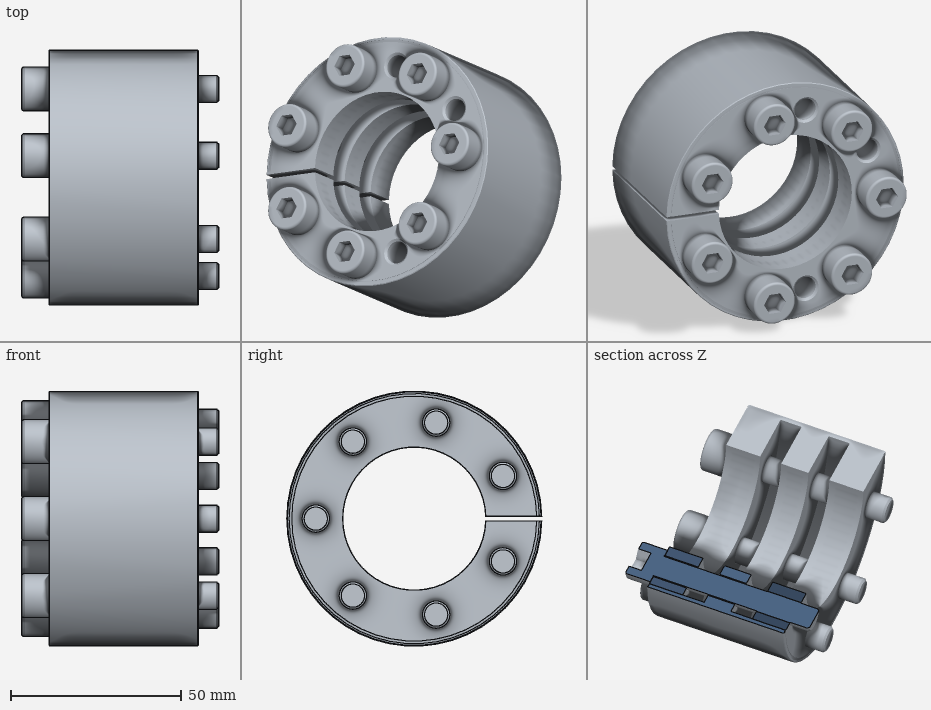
import cadquery as cq
import math


outer_diameter = 75.0
bore_diameter = 42.0
sleeve_length = 43.95
edge_chamfer = 0.2
ring_diameter = 72.0
ring_length = 10.9
web_start = 17.6
web_length = sleeve_length - 2 * web_start
rim_recess_diameter = 73.6
rim_recess_depth = 0.15
slit_width = 1.3

screw_count = 7
bolt_circle_radius = 28.95
shank_diameter = 8.0
shank_overhang = 6.0
shank_chamfer = 0.6
clearance_diameter = 8.4
head_diameter = 13.0
head_height = 8.0
head_fillet = 0.75
socket_width = 6.0
socket_depth = 4.0

jack_hole_diameter = 6.7
jack_hole_mouth_diameter = shank_diameter
jack_hole_chamfer = (jack_hole_mouth_diameter - jack_hole_diameter) / 2

screw_pitch = 360 / screw_count
screw_angles = [i * screw_pitch for i in range(screw_count)]
jack_hole_angles = [i * screw_pitch for i in (-1.5, 0.5, 1.5)]


def disc(diameter, start, length):
    """Cylinder on the X axis, from X = start towards +X."""
    return cq.Workplane("YZ", origin=(start, 0, 0)).circle(diameter / 2).extrude(length)


def on_bolt_circle(body, angle):
    """Move a body from the X axis to the bolt circle."""
    turn = math.radians(angle)
    y = -bolt_circle_radius * math.cos(turn)
    z = bolt_circle_radius * math.sin(turn)
    return body.translate((0, y, z))


def cut_at_angles(body, cutter, angles):
    """Cut a copy of the cutter at each angle on the bolt circle."""
    for angle in angles:
        body = body.cut(on_bolt_circle(cutter, angle))
    return body


def cut_slit(body):
    """Cut the lengthwise slit from the bore out through the +Y side."""
    slit = cq.Workplane("XY").box(
        sleeve_length, outer_diameter, slit_width, centered=(False, False, True)
    )
    return body.cut(slit)


def make_sleeve():
    sleeve = disc(outer_diameter, 0, sleeve_length).edges().chamfer(edge_chamfer)
    sleeve = sleeve.cut(disc(bore_diameter, 0, sleeve_length))
    for ring_seat_start in (0, web_start + web_length):
        sleeve = sleeve.cut(disc(ring_diameter, ring_seat_start, web_start))
    for recess_start in (0, sleeve_length - rim_recess_depth):
        sleeve = sleeve.cut(disc(rim_recess_diameter, recess_start, rim_recess_depth))
    clearance_hole = disc(clearance_diameter, web_start, web_length)
    sleeve = cut_at_angles(sleeve, clearance_hole, screw_angles)
    return cut_slit(sleeve)


def make_ring(start, screw_hole_diameter):
    """Split clamp ring with its front face at X = start."""
    ring = disc(ring_diameter, start, ring_length).cut(disc(bore_diameter, start, ring_length))
    screw_hole = disc(screw_hole_diameter, start, ring_length)
    ring = cut_at_angles(ring, screw_hole, screw_angles)
    return cut_slit(ring)


def make_front_ring():
    ring = make_ring(0, clearance_diameter)
    mouth = cq.Solid.makeCone(
        jack_hole_mouth_diameter / 2,
        jack_hole_diameter / 2,
        jack_hole_chamfer,
        dir=cq.Vector(1, 0, 0),
    )
    jack_hole = disc(jack_hole_diameter, 0, ring_length).union(cq.Workplane(mouth))
    return cut_at_angles(ring, jack_hole, jack_hole_angles)


def make_rear_ring():
    return make_ring(sleeve_length - ring_length, shank_diameter)


def make_screw(angle):
    """Socket head screw whose head rests on the front ring."""
    head = disc(head_diameter, -head_height, head_height).faces("<X").edges().fillet(head_fillet)
    shank = disc(shank_diameter, 0, sleeve_length + shank_overhang)
    shank = shank.faces(">X").chamfer(shank_chamfer)
    socket_corner_diameter = socket_width / math.cos(math.radians(30))
    socket = (
        cq.Workplane("YZ", origin=(-head_height, 0, 0))
        .polygon(6, socket_corner_diameter)
        .extrude(socket_depth)
    )
    screw = head.union(shank).cut(socket)
    return on_bolt_circle(screw, angle)


sleeve = make_sleeve()
front_ring = make_front_ring()
rear_ring = make_rear_ring()
screws = [make_screw(angle) for angle in screw_angles]

result = cq.Compound.makeCompound(
    [sleeve.val(), front_ring.val(), rear_ring.val(), *[screw.val() for screw in screws]]
)